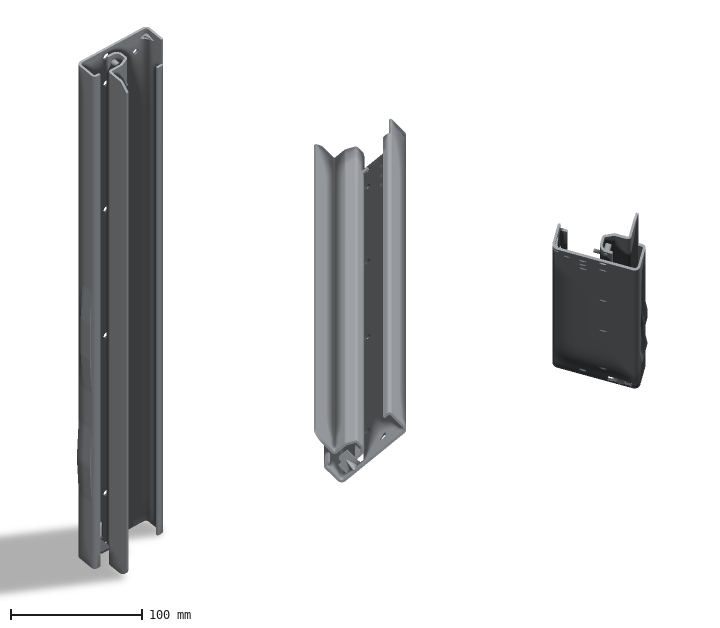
import cadquery as cq
import math

LENGTH = 500.0
WIDTH = 45.0
HEIGHT = 71.0
SHEET = 2.0

RAIL_DEPTH = 21.5
PAD_HEIGHT = 1.75
RAIL_BOTTOM = PAD_HEIGHT
LOWER_LIP_END = 8.0
UPPER_LIP_END = 64.0
LIP_NOTCH_Z = 475.0
NOTCHED_FLANGE_END = 20.0
WEB_BEND = 2.5
LIP_BEND = 1.0
PAD_END_X = RAIL_DEPTH - SHEET - LIP_BEND
LONG_PAD = (7.5, 177.5, 281.5, 36.0)
SHORT_PAD = (3.0, 66.0, 140.0, 4.0)

MOUNT_RADIUS = 3.0
MOUNT_Y = 46.0
MOUNT_Z = (449.5, 465.0, 481.5)
SIDE_HOLE_RADIUS = 2.5
SIDE_HOLE_Y = 58.5
ACCESS_RADIUS = 3.0
ACCESS_Y = 30.0
ACCESS_Z = (49.5, 209.5, 337.5, 465.5, 492.5)
SLOT_HEIGHT = 8.5
SLOT_Z = 19.5

WINDOW_LOW_Y = 7.5
WINDOW_HIGH_Y = 26.5
WINDOW_BOTTOM = 6.0
WINDOW_TOP = 22.5
WINDOW_STEP_Y = 12.0
WINDOW_STEP_Z = 18.0
TAB_LOW_Y = 9.0
TAB_HIGH_Y = 22.5
TAB_REACH = 16.0
TAB_STEP_Y = 13.0
TAB_STEP_X = 11.0
TAB_TOP = WINDOW_BOTTOM + SHEET
TAB_CORNER = 1.5

TAB_DIMPLE_Y = 16.5
TAB_DIMPLE_REACH = 10.0
TAB_DIMPLE_DROP = 5.5
DIMPLE_HALF_WIDTH = 3.5
CORNER_DIMPLE_REACH = 9.0
CORNER_DIMPLE_DROP = 6.0
CORNER_HOLE_RADIUS = 1.5
CORNER_HOLE_Y = 66.5
CORNER_DIMPLE_Z = 492.5

HAT_LEFT = 8.0
HAT_TOP = 36.0
HAT_LEG_END = 25.0
CAP_END_X = 20.0
SLOPE_END_Y = 27.5
LEG_RIGHT = 24.0
FLANGE_BOTTOM = 14.5
HAT_BEND = 4.0
SMALL_BEND = 1.0
TOP_CHAMFER = 7.0
BOTTOM_ROUND = 10.0
COLLAR_RADIUS = 2.5
COLLAR_BORE = 1.5
COLLAR_END_X = 16.0
PIN_RADIUS = 1.5
PIN_X = 13.0
PIN_TOP = 41.0
PIN_Z = 465.5


def right_side_offset(path, distance):
    """Mitred copy of an open path, moved to the right of its direction."""
    angles = [math.atan2(b[1] - a[1], b[0] - a[0]) for a, b in zip(path, path[1:])]
    before = [angles[0]] + angles
    after = angles + [angles[-1]]
    moved = []
    for (x, y), first, second in zip(path, before, after):
        middle = (first + second) / 2
        miter = distance / math.cos((second - first) / 2)
        moved.append((x + miter * math.sin(middle), y - miter * math.cos(middle)))
    return moved


def bent_sheet(path, bends):
    """Sheet strip to the right of a path, rounded at each (inner radius, turn) bend."""
    other = right_side_offset(path, SHEET)
    sheet = cq.Workplane("XY").polyline(path + other[::-1]).close().extrude(LENGTH)
    for (x, y), (u, v), (radius, turn) in zip(path[1:-1], other[1:-1], bends):
        path_radius = radius + SHEET if turn == "right" else radius
        other_radius = radius if turn == "right" else radius + SHEET
        for px, py, size in ((x, y, path_radius), (u, v, other_radius)):
            corner = cq.selectors.NearestToPointSelector((px, py, LENGTH / 2))
            sheet = sheet.edges(corner).fillet(size)
    return sheet


def tetrahedron(a, b, c, d):
    faces = []
    for corners in ((a, b, c), (a, b, d), (a, c, d), (b, c, d)):
        wire = cq.Wire.makePolygon([cq.Vector(*p) for p in corners], close=True)
        faces.append(cq.Face.makeFromWires(wire))
    return cq.Workplane(cq.Solid.makeSolid(cq.Shell.makeShell(faces)))


def press_dimple(body, groove, inward):
    """Back the groove with a bulge one sheet further in, then cut the groove."""
    return body.union(groove.translate(inward)).cut(groove)


def web_hole(y, z, radius):
    return cq.Workplane("YZ").center(y, z).circle(radius).extrude(SHEET)


def pad(start_x, bottom, top, level):
    """Raised pad with a long ramp at each end of a level middle."""
    ramp = (top - bottom - level) / 2
    root = RAIL_BOTTOM + SHEET / 2
    outline = [
        (root, bottom), (RAIL_BOTTOM, bottom), (0, bottom + ramp),
        (0, top - ramp), (RAIL_BOTTOM, top), (root, top),
    ]
    blank = cq.Workplane("YZ").polyline(outline).close().extrude(PAD_END_X - start_x)
    return blank.translate((start_x, 0, 0))


def folded_tab():
    outline = [
        (0, TAB_LOW_Y), (TAB_STEP_X, TAB_LOW_Y), (TAB_STEP_X, TAB_STEP_Y),
        (TAB_REACH, TAB_STEP_Y), (TAB_REACH, TAB_HIGH_Y), (0, TAB_HIGH_Y),
    ]
    tab = cq.Workplane("XY").workplane(offset=WINDOW_BOTTOM).polyline(outline).close().extrude(SHEET)
    outer_corner = cq.selectors.NearestToPointSelector((TAB_REACH, TAB_STEP_Y, WINDOW_BOTTOM + SHEET / 2))
    return tab.edges(outer_corner).fillet(TAB_CORNER)


def lip_notch():
    """Space cleared of the upper lip and its bend near the top end."""
    lip_start = RAIL_DEPTH - SHEET - LIP_BEND
    outline = [
        (lip_start, UPPER_LIP_END), (RAIL_DEPTH, UPPER_LIP_END), (RAIL_DEPTH, HEIGHT),
        (NOTCHED_FLANGE_END, HEIGHT), (NOTCHED_FLANGE_END, HEIGHT - SHEET), (lip_start, HEIGHT - SHEET),
    ]
    blank = cq.Workplane("XY").workplane(offset=LIP_NOTCH_Z).polyline(outline).close()
    return blank.extrude(LENGTH - LIP_NOTCH_Z)


def make_cabinet_rail():
    path = [
        (RAIL_DEPTH, LOWER_LIP_END), (RAIL_DEPTH, RAIL_BOTTOM), (0, RAIL_BOTTOM),
        (0, HEIGHT), (RAIL_DEPTH, HEIGHT), (RAIL_DEPTH, UPPER_LIP_END),
    ]
    rail = bent_sheet(path, [(r, "right") for r in (LIP_BEND, WEB_BEND, WEB_BEND, LIP_BEND)])
    rail = rail.cut(lip_notch())

    for pad_sizes in (LONG_PAD, SHORT_PAD):
        rail = rail.union(pad(*pad_sizes))

    for z in MOUNT_Z:
        rail = rail.cut(web_hole(MOUNT_Y, z, MOUNT_RADIUS))
    rail = rail.cut(web_hole(SIDE_HOLE_Y, MOUNT_Z[-1], SIDE_HOLE_RADIUS))
    for z in ACCESS_Z:
        rail = rail.cut(web_hole(ACCESS_Y, z, ACCESS_RADIUS))
    slot = cq.Workplane("YZ").center(MOUNT_Y, SLOT_Z).slot2D(SLOT_HEIGHT, 2 * MOUNT_RADIUS, 90).extrude(SHEET)
    rail = rail.cut(slot)

    window = [
        (WINDOW_LOW_Y, WINDOW_BOTTOM), (WINDOW_HIGH_Y, WINDOW_BOTTOM), (WINDOW_HIGH_Y, WINDOW_TOP),
        (WINDOW_STEP_Y, WINDOW_TOP), (WINDOW_STEP_Y, WINDOW_STEP_Z), (WINDOW_LOW_Y, WINDOW_STEP_Z),
    ]
    rail = rail.cut(cq.Workplane("YZ").polyline(window).close().extrude(SHEET))
    rail = rail.union(folded_tab())

    tab_groove = tetrahedron(
        (0, TAB_DIMPLE_Y, TAB_TOP - TAB_DIMPLE_DROP),
        (TAB_DIMPLE_REACH, TAB_DIMPLE_Y, TAB_TOP),
        (0, TAB_DIMPLE_Y - DIMPLE_HALF_WIDTH, TAB_TOP),
        (0, TAB_DIMPLE_Y + DIMPLE_HALF_WIDTH, TAB_TOP),
    )
    rail = press_dimple(rail, tab_groove, (SHEET, 0, -SHEET))

    corner_groove = tetrahedron(
        (0, HEIGHT - CORNER_DIMPLE_DROP, CORNER_DIMPLE_Z),
        (CORNER_DIMPLE_REACH, HEIGHT, CORNER_DIMPLE_Z),
        (0, HEIGHT, CORNER_DIMPLE_Z - DIMPLE_HALF_WIDTH),
        (0, HEIGHT, CORNER_DIMPLE_Z + DIMPLE_HALF_WIDTH),
    )
    rail = press_dimple(rail, corner_groove, (SHEET, -SHEET, 0))
    corner_hole = cq.Workplane("YZ").center(CORNER_HOLE_Y, CORNER_DIMPLE_Z).circle(CORNER_HOLE_RADIUS)
    return rail.cut(corner_hole.extrude(RAIL_DEPTH / 2))


def make_drawer_rail():
    path = [
        (HAT_LEFT, HAT_LEG_END), (HAT_LEFT, HAT_TOP), (CAP_END_X, HAT_TOP), (LEG_RIGHT, SLOPE_END_Y),
        (LEG_RIGHT, FLANGE_BOTTOM + SHEET), (WIDTH, FLANGE_BOTTOM + SHEET),
    ]
    bends = [(HAT_BEND, "right"), (SMALL_BEND, "right"), (SMALL_BEND, "right"), (SMALL_BEND, "left")]
    rail = bent_sheet(path, bends)

    flange_middle = FLANGE_BOTTOM + SHEET / 2
    top_corner = cq.selectors.NearestToPointSelector((WIDTH, flange_middle, LENGTH))
    bottom_corner = cq.selectors.NearestToPointSelector((WIDTH, flange_middle, 0))
    rail = rail.edges(top_corner).chamfer(TOP_CHAMFER)
    rail = rail.edges(bottom_corner).fillet(BOTTOM_ROUND)

    collar = cq.Workplane("YZ").center(ACCESS_Y, ACCESS_Z[-1]).circle(COLLAR_RADIUS)
    collar = collar.extrude(COLLAR_END_X - HAT_LEFT - SHEET / 2).translate((HAT_LEFT + SHEET / 2, 0, 0))
    bore = cq.Workplane("YZ").center(ACCESS_Y, ACCESS_Z[-1]).circle(COLLAR_BORE).extrude(COLLAR_END_X)
    rail = rail.union(collar).cut(bore)

    pin_root = HAT_TOP - SHEET / 2
    pin = cq.Workplane("XZ").center(PIN_X, PIN_Z).circle(PIN_RADIUS).extrude(pin_root - PIN_TOP)
    return rail.union(pin.translate((0, pin_root, 0)))


cabinet_rail = make_cabinet_rail()
drawer_rail = make_drawer_rail()
result = cq.Compound.makeCompound([cabinet_rail.val(), drawer_rail.val()])